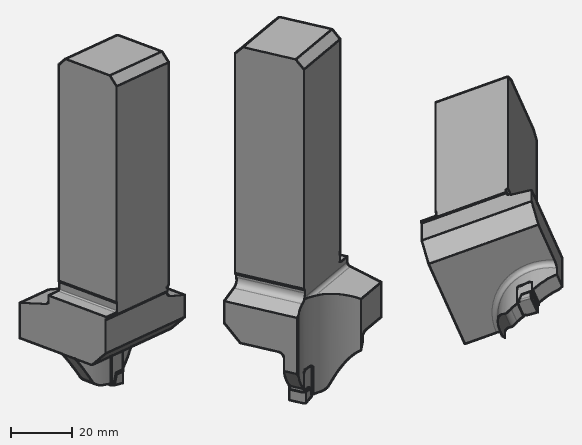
import cadquery as cq
import math

total_width = 38.0
total_depth = 38.6
total_height = 124.0

shank_size = 25.4
shank_left = total_width - shank_size
shank_front = 5.0
shank_back = shank_front + shank_size
shank_chamfer = 3.0

front_relief = 0.2
front_relief_top = 43.8
front_relief_taper = 0.5
seat_fillet = 0.5
seat_z = 40.2

back_relief = 0.7
back_relief_top = 41.5
back_relief_taper = 0.9

head_bottom = 21.1
head_slope = math.tan(math.radians(15))
root_fillet = 1.5
left_shoulder_z = 33.7
back_shoulder_z = 35.0
back_root_fillet = 3.0
side_relief = 0.4
side_relief_top = 39.2
corner_chamfer = 6.0

blade_radius = 17.4
blade_center_x = 0.2
blade_center_y = 30.4
blade_root_fillet = 1.9
blade_front = blade_center_y - blade_radius
blade_bottom = 1.4
blade_front_slope_top = 17.6
blade_front_slope = math.tan(math.radians(25))
blade_toe_fillet = 3.2
blade_back_slope_top = 14.6

scoop_radius = 16.6
scoop_right = 12.4
scoop_center_y = 30.3
scoop_flat_x = 10.8
scoop_flat_start_y = 37.5

insert_center_x = 14.9
insert_front = 25.4
insert_back = 30.6
insert_top = 12.0
insert_corner = 0.7
insert_head_width = 6.2
insert_head_top = 4.8
insert_tip_radius = 0.5
head_shoulder_chamfer = 0.5
insert_width = insert_head_width - 2 * insert_tip_radius
rake_y = 30.4
end_relief = math.tan(math.radians(9))
head_side_top_y = 27.4
head_side_bottom_y = 26.2

jaw_back = 31.0
jaw_bottom = 4.2
jaw_slope_end_z = 5.6


def make_front_silhouette():
    """Shank and head seen along Y, extruded over the whole depth."""
    head_right = total_width - side_relief
    inner_corner_z = left_shoulder_z + shank_left * head_slope
    silhouette = (
        cq.Workplane("XZ")
        .moveTo(0, head_bottom)
        .lineTo(head_right - corner_chamfer, head_bottom)
        .lineTo(head_right, head_bottom + corner_chamfer)
        .lineTo(head_right, side_relief_top)
        .lineTo(total_width, side_relief_top)
        .lineTo(total_width, total_height - shank_chamfer)
        .lineTo(total_width - shank_chamfer, total_height)
        .lineTo(shank_left + shank_chamfer, total_height)
        .lineTo(shank_left, total_height - shank_chamfer)
        .lineTo(shank_left, inner_corner_z)
        .lineTo(0, left_shoulder_z)
        .close()
        .extrude(-total_depth)
    )
    corner = cq.selectors.NearestToPointSelector((shank_left, total_depth / 2, inner_corner_z))
    return silhouette.edges("|Y").edges(corner).fillet(root_fillet)


def make_side_silhouette():
    """Shank and head seen along X, extruded over the whole width."""
    relief_y = shank_back - back_relief
    inner_corner_z = back_shoulder_z + (total_depth - relief_y) * head_slope
    silhouette = (
        cq.Workplane("YZ")
        .moveTo(0, head_bottom)
        .lineTo(total_depth, head_bottom)
        .lineTo(total_depth, back_shoulder_z)
        .lineTo(relief_y, inner_corner_z)
        .lineTo(relief_y, back_relief_top - back_relief_taper)
        .lineTo(shank_back, back_relief_top)
        .lineTo(shank_back, total_height)
        .lineTo(shank_front, total_height)
        .lineTo(shank_front, front_relief_top)
        .lineTo(shank_front + front_relief, front_relief_top - front_relief_taper)
        .lineTo(shank_front + front_relief, seat_z)
        .lineTo(0, seat_z)
        .close()
        .extrude(total_width)
    )
    corner = cq.selectors.NearestToPointSelector((total_width / 2, relief_y, inner_corner_z))
    seat_corner = cq.selectors.NearestToPointSelector(
        (total_width / 2, shank_front + front_relief, seat_z)
    )
    silhouette = silhouette.edges("|X").edges(corner).fillet(back_root_fillet)
    return silhouette.edges("|X").edges(seat_corner).fillet(seat_fillet)


def make_blade():
    """Round blade with a flared root, trimmed to its tapering side outline."""
    flare = blade_radius + blade_root_fillet
    arc_inset = blade_root_fillet * (1 - math.sqrt(0.5))
    column = (
        cq.Workplane("XZ", origin=(blade_center_x, blade_center_y, 0))
        .moveTo(0, 0)
        .lineTo(blade_radius, 0)
        .lineTo(blade_radius, head_bottom - blade_root_fillet)
        .threePointArc((blade_radius + arc_inset, head_bottom - arc_inset), (flare, head_bottom))
        .lineTo(0, head_bottom)
        .close()
        .revolve(360, (0, 0), (0, 1))
    )
    toe_y = blade_front + (blade_front_slope_top - blade_bottom) * blade_front_slope
    outline = (
        cq.Workplane("YZ")
        .moveTo(0, head_bottom)
        .lineTo(0, blade_front_slope_top)
        .lineTo(blade_front, blade_front_slope_top)
        .lineTo(toe_y, blade_bottom)
        .lineTo(insert_front, blade_bottom)
        .lineTo(insert_front, jaw_bottom)
        .lineTo(jaw_back, jaw_bottom)
        .lineTo(jaw_back, jaw_slope_end_z)
        .lineTo(total_depth, blade_back_slope_top)
        .lineTo(total_depth, head_bottom)
        .close()
        .extrude(total_width)
    )
    toe = cq.selectors.NearestToPointSelector((total_width / 2, toe_y, blade_bottom))
    return column.intersect(outline.edges("|X").edges(toe).fillet(blade_toe_fillet))


def make_scoop():
    """Vertical concave clearance, with a short flat at its back end."""
    scoop = (
        cq.Workplane("XY")
        .center(scoop_right - scoop_radius, scoop_center_y)
        .circle(scoop_radius)
        .extrude(total_height)
    )
    flat = (
        cq.Workplane("XY")
        .box(scoop_flat_x, total_depth - scoop_flat_start_y, total_height, centered=False)
        .translate((0, scoop_flat_start_y, 0))
    )
    return scoop.union(flat)


def make_insert_bar(center_x, width):
    """Straight bar with the side outline of the insert body."""
    front_bottom_z = (rake_y - insert_front) * end_relief
    return (
        cq.Workplane("YZ", origin=(center_x - width / 2, 0, 0))
        .moveTo(rake_y, 0)
        .lineTo(rake_y, jaw_bottom)
        .lineTo(insert_back, jaw_bottom)
        .lineTo(insert_back, insert_top - insert_corner)
        .lineTo(insert_back - insert_corner, insert_top)
        .lineTo(insert_front + insert_corner, insert_top)
        .lineTo(insert_front, insert_top - insert_corner)
        .lineTo(insert_front, front_bottom_z)
        .close()
        .extrude(width)
    )


def make_insert_head():
    """Wider cutting head with rounded tips and sloping shoulders, relieved towards the front."""
    head = (
        cq.Workplane("YZ", origin=(insert_center_x - insert_head_width / 2, 0, 0))
        .moveTo(rake_y, 0)
        .lineTo(rake_y, insert_head_top)
        .lineTo(head_side_top_y, insert_head_top)
        .lineTo(head_side_bottom_y, (rake_y - head_side_bottom_y) * end_relief)
        .close()
        .extrude(insert_head_width)
    )
    for side in ("<X", ">X"):
        head = head.faces(side).edges("<Z").fillet(insert_tip_radius)
    for side in ("<X", ">X"):
        head = head.faces(">Z").edges(side).chamfer(head_shoulder_chamfer)
    return head


insert = make_insert_bar(insert_center_x, insert_width).union(make_insert_head())

insert_slot = make_insert_bar(total_width / 2, total_width)
holder = (
    make_front_silhouette()
    .intersect(make_side_silhouette())
    .union(make_blade())
    .cut(make_scoop())
    .cut(insert_slot)
    .cut(insert)
)

result = cq.Compound.makeCompound([holder.val(), insert.val()])